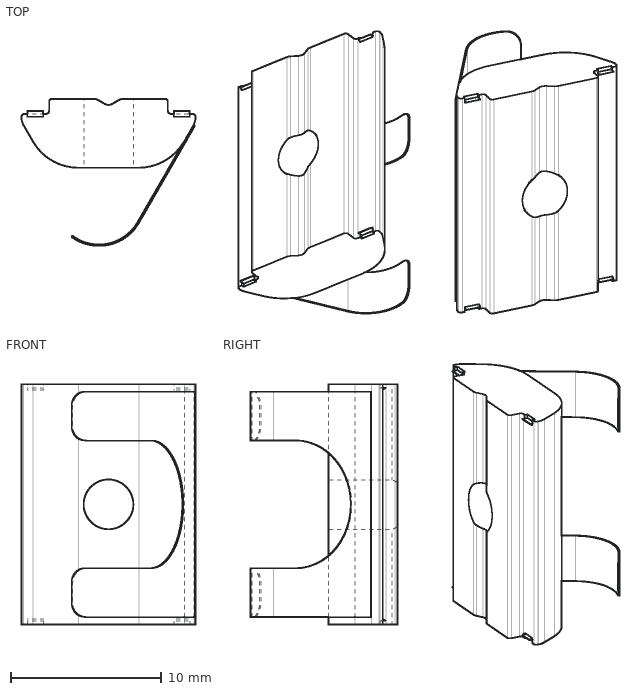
import cadquery as cq
import math

length = 16.0
half_length = length / 2
half_width = 5.8
body_depth = 4.6
boss_half_width = 3.96
shelf_y = -1.0
flat_half_width = 2.0
flank_angle = math.radians(60)
belly_radius = 3.5
boss_corner_radius = 0.2
shelf_edge_radius = 0.2
flank_corner_radius = 1.0

groove_depth = 0.4
groove_slope = math.radians(30)
groove_radius = 0.5

hole_diameter = 3.3

lip_inner_x = 4.36
lip_outer_x = 5.4
lip_reach = 0.2
lip_setback = 0.25
lip_root_thickness = 0.24

spring_thickness = 0.1
spring_half_length = 7.5
spring_bend_y = -8.22
spring_outer_y = -9.8
hook_angle = math.radians(36.7)
tip_radius = 1.0
tip_overcut = 0.2
window_radius = 4.25
window_center_x = 2.78
window_cut_reach = 8.0

flank_low_x = flat_half_width + belly_radius * math.sin(flank_angle)
flank_low_y = -body_depth + belly_radius * (1 - math.cos(flank_angle))
flank_corner_y = flank_low_y + (half_width - flank_low_x) * math.tan(flank_angle)
flank_setback = flank_corner_radius * math.tan((math.pi / 2 - flank_angle) / 2)
flank_high_x = half_width - flank_setback * math.cos(flank_angle)
flank_high_y = flank_corner_y - flank_setback * math.sin(flank_angle)


def flank_point(y, offset=0.0):
    """Point on the flank line at height y, moved outward by offset."""
    x = flank_low_x + (y - flank_low_y) / math.tan(flank_angle)
    return (x + offset * math.sin(flank_angle), y - offset * math.cos(flank_angle))


def round_corners(solid, corners, radius):
    """Round the lengthwise edges at the given XY corners, on both sides of the YZ plane."""
    for x, y in corners:
        for side in {x, -x}:
            solid = solid.edges(cq.selectors.NearestToPointSelector((side, y, 0))).fillet(radius)
    return solid


def make_body():
    groove_apex = groove_depth + groove_radius * (1 / math.cos(groove_slope) - 1)
    groove_half_width = groove_apex / math.tan(groove_slope)
    belly_mid_x = flat_half_width + belly_radius * math.sin(flank_angle / 2)
    belly_mid_y = -body_depth + belly_radius * (1 - math.cos(flank_angle / 2))
    half = (
        cq.Workplane("XY", origin=(0, 0, -half_length))
        .moveTo(0, -body_depth)
        .lineTo(flat_half_width, -body_depth)
        .threePointArc((belly_mid_x, belly_mid_y), (flank_low_x, flank_low_y))
        .lineTo(half_width, flank_corner_y)
        .lineTo(half_width, shelf_y)
        .lineTo(boss_half_width, shelf_y)
        .lineTo(boss_half_width, 0)
        .lineTo(groove_half_width, 0)
        .lineTo(0, -groove_apex)
        .close()
        .extrude(length)
    )
    body = half.union(half.mirror("YZ")).clean()
    body = round_corners(body, [(half_width, flank_corner_y)], flank_corner_radius)
    body = round_corners(body, [(half_width, shelf_y)], shelf_edge_radius)
    body = round_corners(body, [(boss_half_width, shelf_y), (boss_half_width, 0)], boss_corner_radius)
    body = round_corners(body, [(groove_half_width, 0), (0, -groove_apex)], groove_radius)
    hole = cq.Workplane("XZ").circle(hole_diameter / 2).extrude(body_depth)
    return body.cut(hole)


def stake_lips(body):
    """Press a shallow step into each shelf end and add the thin wedge squeezed out beyond the shelf."""
    lip_width = lip_outer_x - lip_inner_x
    lip_z = half_length - lip_setback
    step = (
        cq.Workplane("XY", origin=(lip_inner_x, shelf_y - lip_reach, lip_z))
        .rect(lip_width, lip_reach, centered=False)
        .extrude(lip_setback)
    )
    wedge = (
        cq.Workplane("YZ", origin=(lip_inner_x, 0, 0))
        .moveTo(shelf_y + lip_reach, lip_z)
        .lineTo(shelf_y - lip_reach, lip_z)
        .lineTo(shelf_y - lip_reach, lip_z - lip_root_thickness)
        .close()
        .extrude(lip_width)
    )
    for mirror_planes in ([], ["YZ"], ["XY"], ["YZ", "XY"]):
        end_step, end_wedge = step, wedge
        for plane in mirror_planes:
            end_step = end_step.mirror(plane)
            end_wedge = end_wedge.mirror(plane)
        body = body.cut(end_step).union(end_wedge)
    return body


def make_spring():
    inner_bend = flank_point(spring_bend_y)
    outer_bend = flank_point(spring_bend_y, spring_thickness)
    inner_drop = spring_bend_y - (spring_outer_y + spring_thickness)
    inner_radius = inner_drop / (1 - math.cos(flank_angle))
    outer_radius = inner_radius + spring_thickness
    center_x = inner_bend[0] - inner_radius * math.sin(flank_angle)
    center_y = spring_bend_y + inner_radius * math.cos(flank_angle)

    def hook_point(radius, angle):
        return (center_x - radius * math.sin(angle), center_y - radius * math.cos(angle))

    sheet = (
        cq.Workplane("XY", origin=(0, 0, -spring_half_length))
        .moveTo(flank_high_x, flank_high_y)
        .lineTo(*inner_bend)
        .threePointArc(hook_point(inner_radius, 0), hook_point(inner_radius, hook_angle))
        .lineTo(*hook_point(outer_radius, hook_angle))
        .threePointArc(hook_point(outer_radius, 0), outer_bend)
        .lineTo(*flank_point(flank_high_y, spring_thickness))
        .close()
        .extrude(2 * spring_half_length)
    )

    window_y = flank_low_y + (window_center_x - flank_low_x) * math.tan(flank_angle)
    along_sheet = (math.cos(flank_angle), math.sin(flank_angle), 0)
    off_sheet = (math.sin(flank_angle), -math.cos(flank_angle), 0)
    window_plane = cq.Plane(origin=(window_center_x, window_y, 0), xDir=along_sheet, normal=off_sheet)
    window = (
        cq.Workplane(window_plane)
        .moveTo(-window_cut_reach, -window_radius)
        .lineTo(0, -window_radius)
        .threePointArc((window_radius, 0), (0, window_radius))
        .lineTo(-window_cut_reach, window_radius)
        .close()
        .extrude(window_cut_reach, both=True)
    )
    sheet = sheet.cut(window)

    tip_x, tip_y = hook_point(inner_radius, hook_angle)
    toward_tip = (-math.cos(hook_angle), math.sin(hook_angle), 0)
    outward = (-math.sin(hook_angle), -math.cos(hook_angle), 0)
    tip_plane = cq.Plane(origin=(tip_x, tip_y, 0), xDir=toward_tip, normal=outward)
    arc_offset = tip_radius * (1 - math.sqrt(0.5))
    for edge_z, inward in ((spring_half_length, -1), (window_radius, 1)):
        corner = (
            cq.Workplane(tip_plane)
            .moveTo(-tip_radius, edge_z)
            .threePointArc((-arc_offset, edge_z + inward * arc_offset), (0, edge_z + inward * tip_radius))
            .lineTo(tip_overcut, edge_z + inward * tip_radius)
            .lineTo(tip_overcut, edge_z - inward * tip_overcut)
            .lineTo(-tip_radius, edge_z - inward * tip_overcut)
            .close()
            .extrude(tip_radius, both=True)
        )
        sheet = sheet.cut(corner).cut(corner.mirror("XY"))
    return sheet


result = stake_lips(make_body()).union(make_spring())